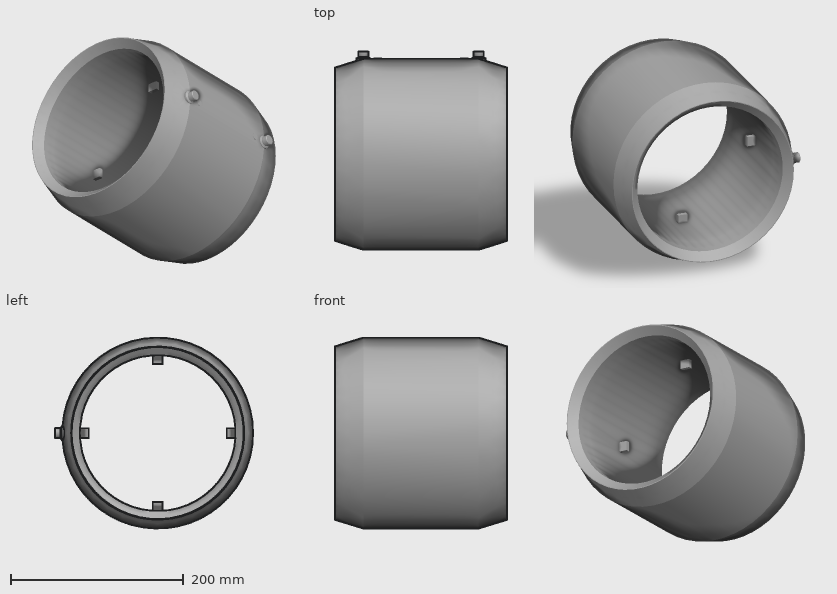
import cadquery as cq

length = 199.5
outer_radius = 221.0 / 2
bore_radius = 180.0 / 2
taper_length = 33.0
end_radius = 100.3
rim_width = 1.0
bore_chamfer_length = 9.2

block_width = 11.5
block_length = 5.0
block_tip_radius = 79.6
block_root_overlap = 2.3
block_count = 4

overall_depth = 229.5
terminal_tip_y = overall_depth - outer_radius
terminal_head_diameter = 12.0
terminal_neck_diameter = 11.5
terminal_base_diameter = 16.0
terminal_head_edge = 0.7
head_bottom_y = 113.0
collar_top_y = 112.0
collar_shoulder_y = 110.8
button_diameter = 8.0
button_height = 0.5
button_x = 50.3
root_y = outer_radius - 9.2

half_length = length / 2
cylinder_half_length = half_length - taper_length
bore_half_length = half_length - bore_chamfer_length
rim_inner_radius = end_radius - rim_width


def sleeve():
    """Tapered tube revolved about X."""
    profile = [
        (-half_length, end_radius),
        (-cylinder_half_length, outer_radius),
        (cylinder_half_length, outer_radius),
        (half_length, end_radius),
        (half_length, rim_inner_radius),
        (bore_half_length, bore_radius),
        (-bore_half_length, bore_radius),
        (-half_length, rim_inner_radius),
    ]
    return cq.Workplane("XY").polyline(profile).close().revolve(360, (0, 0, 0), (1, 0, 0))


def stop_block(angle):
    """Block pointing from the bore wall towards the axis."""
    height = bore_radius + block_root_overlap - block_tip_radius
    block = cq.Workplane("XY").box(block_length, block_width, height, centered=(True, True, False))
    block = block.translate((0, 0, block_tip_radius))
    return block.rotate((0, 0, 0), (1, 0, 0), angle)


def terminal(x):
    """Headed terminal on a collar, revolved about a line parallel to Y."""
    head_radius = terminal_head_diameter / 2
    neck_radius = terminal_neck_diameter / 2
    base_radius = terminal_base_diameter / 2
    profile = [
        (0, root_y),
        (base_radius, root_y),
        (base_radius, collar_shoulder_y),
        (head_radius, collar_top_y),
        (neck_radius, collar_top_y),
        (neck_radius, head_bottom_y),
        (head_radius, head_bottom_y),
        (head_radius, terminal_tip_y - terminal_head_edge),
        (head_radius - terminal_head_edge, terminal_tip_y),
        (0, terminal_tip_y),
    ]
    body = cq.Workplane("XY").polyline(profile).close().revolve(360, (0, 0, 0), (0, 1, 0))
    return body.translate((x, 0, 0))


def button(x):
    """Low round button just proud of the sleeve."""
    height = outer_radius + button_height - root_y
    base = cq.Workplane("XZ", origin=(x, root_y, 0))
    return base.circle(button_diameter / 2).extrude(-height)


result = sleeve()
for index in range(block_count):
    result = result.union(stop_block(index * 360 / block_count))
for side in (-1, 1):
    result = result.union(terminal(side * cylinder_half_length))
    result = result.union(button(side * button_x))